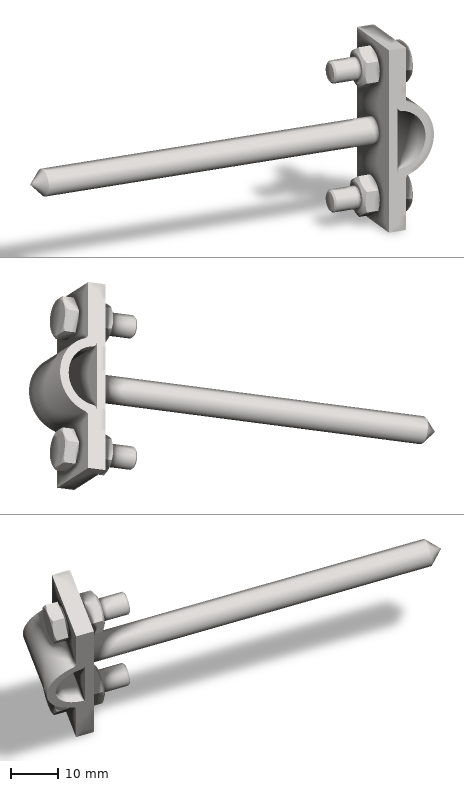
import cadquery as cq
import math

total_length = 90.5
plate_width = 16.0
plate_height = 41.0
plate_thickness = 2.0

saddle_outer_radius = 8.5
saddle_inner_radius = saddle_outer_radius - plate_thickness
bend_radius = 1.0

rod_diameter = 6.0
rod_radius = rod_diameter / 2
tip_length = rod_radius
rod_tip_y = saddle_outer_radius - total_length

bolt_offset = 14.5
bolt_diameter = 5.0
bolt_end_diameter = 4.2
bolt_end_y = -12.0
hex_across_flats = 8.0
hex_across_corners = hex_across_flats / math.cos(math.radians(30))
bevel_slope = math.tan(math.radians(30))
washer_face_diameter = 6.7
washer_face_thickness = 0.5
head_top_y = 5.5
head_bottom_y = plate_thickness + washer_face_thickness
head_end_diameter = 7.8
head_turn = 6.0
nut_thickness = 4.0
nut_seat_diameter = 7.1
nut_end_diameter = 6.7
nut_turn = 30.0


def cylinder(diameter, y_start, y_end, z=0.0):
    """Cylinder along Y between two stations."""
    return (
        cq.Workplane("XZ", origin=(0, y_start, z))
        .circle(diameter / 2)
        .extrude(y_start - y_end)
    )


def drill_bolt_holes(plate, y_start, y_end):
    """Cut the two snug bolt holes through a plate."""
    for z in (-bolt_offset, bolt_offset):
        plate = plate.cut(cylinder(bolt_diameter, y_start, y_end, z))
    return plate


def make_strap():
    """Flat strap with a half-round saddle and rounded bends."""
    flat = cq.Workplane("XY").box(plate_width, plate_thickness, plate_height)
    flat = flat.translate((0, plate_thickness / 2, 0))
    lower_half = cq.Workplane("XY").box(
        plate_width, total_length, total_length
    ).translate((0, -total_length / 2, 0))
    saddle = cq.Workplane("YZ").circle(saddle_outer_radius).extrude(plate_width / 2, both=True)
    channel = cq.Workplane("YZ").circle(saddle_inner_radius).extrude(plate_width / 2, both=True)
    strap = flat.union(saddle.cut(lower_half)).cut(channel)
    outer_bend_z = math.sqrt(saddle_outer_radius**2 - plate_thickness**2)
    for bend_y, bend_z in ((plate_thickness, outer_bend_z), (0, saddle_inner_radius)):
        for side in (-1, 1):
            bend_edge = cq.selectors.NearestToPointSelector((0, bend_y, side * bend_z))
            strap = strap.edges("|X").edges(bend_edge).fillet(bend_radius)
    return drill_bolt_holes(strap, plate_thickness, 0)


def make_back_plate():
    """Flat plate that closes the saddle."""
    plate = cq.Workplane("XY").box(plate_width, plate_thickness, plate_height)
    plate = plate.translate((0, -plate_thickness / 2, 0))
    return drill_bolt_holes(plate, 0, -plate_thickness)


def make_rod():
    """Round rod with a sharp conical tip, seated on the back plate."""
    rod_profile = [
        (0, -plate_thickness),
        (rod_radius, -plate_thickness),
        (rod_radius, rod_tip_y + tip_length),
        (0, rod_tip_y),
    ]
    return cq.Workplane("XY").polyline(rod_profile).close().revolve(360, (0, 0, 0), (0, 1, 0))


def hex_prism(y_start, y_end, turn, z):
    """Hexagon along Y between two stations, turned about its own axis."""
    return (
        cq.Workplane("XZ", origin=(0, y_start, 0))
        .polygon(6, hex_across_corners)
        .extrude(y_start - y_end)
        .rotate((0, 0, 0), (0, 1, 0), turn)
        .translate((0, 0, z))
    )


def bevel_corners(prism, end_y, far_y, end_diameter, z):
    """Bevel the corners of a hexagon with a cone that meets the face at end_y."""
    outer_radius = hex_across_corners / 2
    end_radius = end_diameter / 2
    bevel_depth = (outer_radius - end_radius) * bevel_slope
    cone_base_y = end_y + math.copysign(bevel_depth, far_y - end_y)
    cone_profile = [
        (0, end_y),
        (end_radius, end_y),
        (outer_radius, cone_base_y),
        (outer_radius, far_y),
        (0, far_y),
    ]
    envelope = (
        cq.Workplane("XY")
        .polyline(cone_profile)
        .close()
        .revolve(360, (0, 0, 0), (0, 1, 0))
        .translate((0, 0, z))
    )
    return prism.intersect(envelope)


def make_bolt(z):
    """Hex bolt with a washer face and a chamfered shank end."""
    head = hex_prism(head_top_y, head_bottom_y, head_turn, z)
    head = bevel_corners(head, head_top_y, head_bottom_y, head_end_diameter, z)
    washer_face = cylinder(washer_face_diameter, head_bottom_y, plate_thickness, z)
    end_chamfer = (bolt_diameter - bolt_end_diameter) / 2
    shank = cylinder(bolt_diameter, head_bottom_y, bolt_end_y, z).faces("<Y").chamfer(end_chamfer)
    return head.union(washer_face).union(shank)


def make_nut(z):
    """Hex nut seated on the back plate."""
    nut_seat_y = -plate_thickness
    nut_end_y = nut_seat_y - nut_thickness
    nut = hex_prism(nut_seat_y, nut_end_y, nut_turn, z)
    nut = bevel_corners(nut, nut_seat_y, nut_end_y, nut_seat_diameter, z)
    nut = bevel_corners(nut, nut_end_y, nut_seat_y, nut_end_diameter, z)
    return nut.cut(cylinder(bolt_diameter, nut_seat_y, nut_end_y, z))


strap = make_strap()
back_plate = make_back_plate()
rod = make_rod()
bolts = []
nuts = []
for fastener_z in (-bolt_offset, bolt_offset):
    bolts.append(make_bolt(fastener_z).val())
    nuts.append(make_nut(fastener_z).val())

result = cq.Compound.makeCompound([strap.val(), back_plate.val(), rod.val(), *bolts, *nuts])